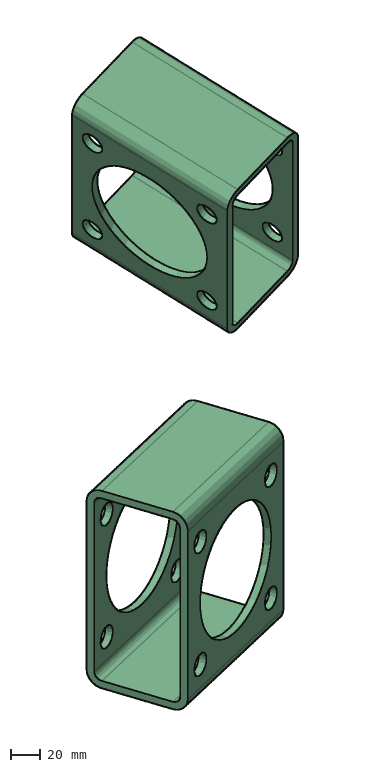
import cadquery as cq

length = 135.0
depth = 80.0
height = 160.0
wall = 6.0
outer_radius = 12.0
inner_radius = outer_radius - wall

bore_diameter = 100.0
bolt_hole_diameter = 17.0
bolt_spacing = 99.5


def rounded_bar(bar_depth, bar_height, corner_radius):
    """Solid bar centred on the origin, with its long edges rounded."""
    return cq.Workplane("XY").box(length, bar_depth, bar_height).edges("|X").fillet(corner_radius)


def cross_cutters(diameter, centres):
    """Cylinders along Y, long enough to pass through both broad walls."""
    return (
        cq.Workplane("XZ")
        .pushPoints(centres)
        .circle(diameter / 2)
        .extrude(depth, both=True)
    )


outer_bar = rounded_bar(depth, height, outer_radius)
cavity = rounded_bar(depth - 2 * wall, height - 2 * wall, inner_radius)
tube = outer_bar.cut(cavity)

bolt_offset = bolt_spacing / 2
bolt_centres = [(x, z) for x in (-bolt_offset, bolt_offset) for z in (-bolt_offset, bolt_offset)]

bore = cross_cutters(bore_diameter, [(0, 0)])
bolt_holes = cross_cutters(bolt_hole_diameter, bolt_centres)
result = tube.cut(bore).cut(bolt_holes)